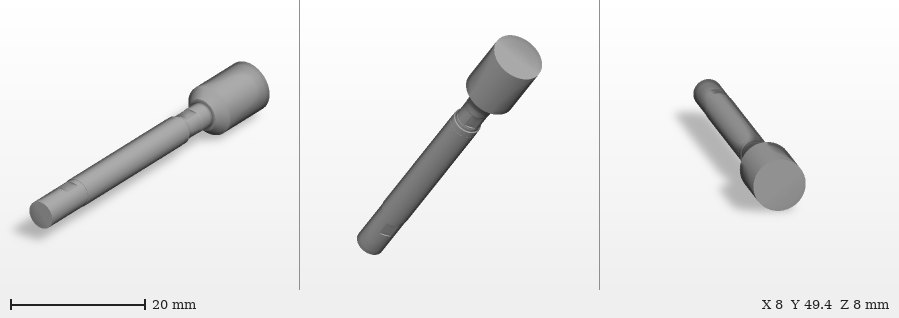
import cadquery as cq

TOTAL_LENGTH = 49.4
TAIL_END = -TOTAL_LENGTH / 2

TAIL_DIAMETER = 4.4
BARREL_DIAMETER = 4.55
COLLAR_DIAMETER = 4.5
NECK_DIAMETER = 4.0
WAIST_DIAMETER = 3.9
CONE_TIP_DIAMETER = 5.15
HEAD_DIAMETER = 8.0

TAIL_LENGTH = 8.5
BARREL_LENGTH = 22.9
COLLAR_LENGTH = 1.1
NECK_LENGTH = 5.8
CONE_LENGTH = 1.7
SHAFT_LENGTH = TAIL_LENGTH + BARREL_LENGTH + COLLAR_LENGTH + NECK_LENGTH
HEAD_LENGTH = TOTAL_LENGTH - SHAFT_LENGTH - CONE_LENGTH

FLAT_WIDTH = 1.9
TAIL_FLAT_START = 4.95
TAIL_FLAT_LENGTH = 2.6
NECK_FLAT_START = 0.8
NECK_FLAT_LENGTH = 2.55

WAIST_GAP = 0.5
WAIST_LENGTH = 3.0
WAIST_TAPER = 0.15

barrel_start = TAIL_END + TAIL_LENGTH
collar_start = barrel_start + BARREL_LENGTH
neck_start = collar_start + COLLAR_LENGTH
cone_start = neck_start + NECK_LENGTH
head_start = cone_start + CONE_LENGTH


def along_y(start, length, diameter):
    """Cylinder on the Y axis, starting at Y = start and running toward +Y."""
    plane = cq.Workplane("XZ", origin=(0, start, 0))
    return plane.circle(diameter / 2).extrude(-length)


def cone_along_y(start, length, start_diameter, end_diameter):
    """Truncated cone on the Y axis, running toward +Y."""
    plane = cq.Workplane("XZ", origin=(0, start, 0))
    return plane.circle(start_diameter / 2).workplane(offset=-length).circle(end_diameter / 2).loft()


def cut_flats(body, start, length, diameter):
    """Cut opposite flats, FLAT_WIDTH wide, into the top and bottom of a round section."""
    flat_height = ((diameter / 2) ** 2 - (FLAT_WIDTH / 2) ** 2) ** 0.5
    for side in (1, -1):
        cutter = cq.Workplane("XY").box(diameter, length, diameter)
        centre = (0, start + length / 2, side * (flat_height + diameter / 2))
        body = body.cut(cutter.translate(centre))
    return body


def make_neck():
    """Neck with a shallow waist that tapers in and out again."""
    waist_start = neck_start + WAIST_GAP
    waist_end = waist_start + WAIST_LENGTH
    straight_start = waist_start + WAIST_TAPER
    straight_length = WAIST_LENGTH - 2 * WAIST_TAPER
    taper_out_start = straight_start + straight_length

    neck_body = along_y(neck_start, WAIST_GAP, NECK_DIAMETER)
    neck_body = neck_body.union(cone_along_y(waist_start, WAIST_TAPER, NECK_DIAMETER, WAIST_DIAMETER))
    neck_body = neck_body.union(along_y(straight_start, straight_length, WAIST_DIAMETER))
    neck_body = neck_body.union(cone_along_y(taper_out_start, WAIST_TAPER, WAIST_DIAMETER, NECK_DIAMETER))
    return neck_body.union(along_y(waist_end, cone_start - waist_end, NECK_DIAMETER))


tail = along_y(TAIL_END, TAIL_LENGTH, TAIL_DIAMETER)
tail = cut_flats(tail, TAIL_END + TAIL_FLAT_START, TAIL_FLAT_LENGTH, TAIL_DIAMETER)

barrel = along_y(barrel_start, BARREL_LENGTH, BARREL_DIAMETER)

collar = along_y(collar_start, COLLAR_LENGTH, COLLAR_DIAMETER)

neck = make_neck()
neck = cut_flats(neck, neck_start + NECK_FLAT_START, NECK_FLAT_LENGTH, WAIST_DIAMETER)

cone = cone_along_y(cone_start, CONE_LENGTH, CONE_TIP_DIAMETER, HEAD_DIAMETER)
head = along_y(head_start, HEAD_LENGTH, HEAD_DIAMETER)

result = tail.union(barrel).union(collar).union(neck).union(cone).union(head)